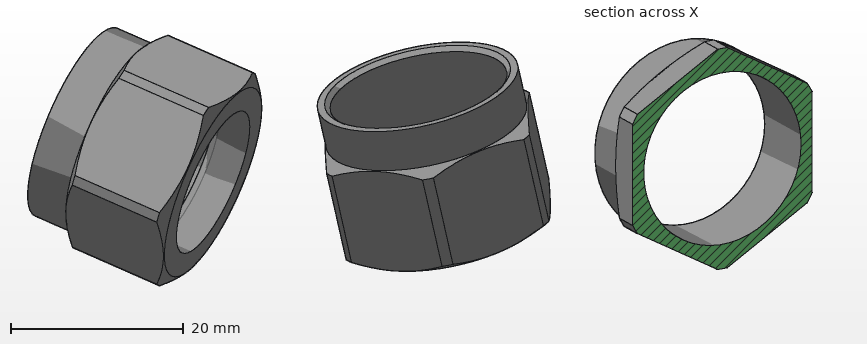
import cadquery as cq
import math

total_length = 18.0
corner_diameter = 27.0
across_flats = 24.0
collar_diameter = 23.8
collar_length = 5.02
bevel_angle = 30.0

bore_diameter = 20.92
bore_depth = 13.12
mouth_diameter = 22.0
mouth_chamfer_depth = 0.55
through_diameter = 17.9
lip_radius = 0.97

corner_radius = corner_diameter / 2
collar_radius = collar_diameter / 2
bore_radius = bore_diameter / 2
mouth_radius = mouth_diameter / 2
through_radius = through_diameter / 2
bevel_length = (corner_radius - collar_radius) * math.tan(math.radians(bevel_angle))


def revolve_about_x(profile):
    """Revolve a closed profile of (axial position, radius) about the X axis."""
    return profile.close().revolve(360, (0, 0, 0), (1, 0, 0))


def turned_envelope():
    """Round blank: collar followed by a body beveled at both ends."""
    return revolve_about_x(
        cq.Workplane("XY")
        .lineTo(0, collar_radius)
        .lineTo(collar_length, collar_radius)
        .lineTo(collar_length + bevel_length, corner_radius)
        .lineTo(total_length - bevel_length, corner_radius)
        .lineTo(total_length, collar_radius)
        .lineTo(total_length, 0)
    )


def hex_prism():
    """Hexagonal bar with corners toward +Z and -Z and flats facing +Y and -Y."""
    sharp_corner_diameter = across_flats / math.cos(math.radians(30))
    return (
        cq.Workplane("YZ")
        .polygon(6, sharp_corner_diameter)
        .extrude(total_length)
        .rotate((0, 0, 0), (1, 0, 0), 90)
    )


def bore_cutter():
    """Chamfered main bore, flat shoulder, rounded lip and through hole."""
    arc_offset = lip_radius * math.sqrt(0.5)
    lip_center_x = bore_depth + lip_radius
    lip_center_radius = through_radius + lip_radius
    return revolve_about_x(
        cq.Workplane("XY")
        .lineTo(0, mouth_radius)
        .lineTo(mouth_chamfer_depth, bore_radius)
        .lineTo(bore_depth, bore_radius)
        .lineTo(bore_depth, lip_center_radius)
        .threePointArc(
            (lip_center_x - arc_offset, lip_center_radius - arc_offset),
            (lip_center_x, through_radius),
        )
        .lineTo(total_length, through_radius)
        .lineTo(total_length, 0)
    )


result = turned_envelope().intersect(hex_prism()).cut(bore_cutter())